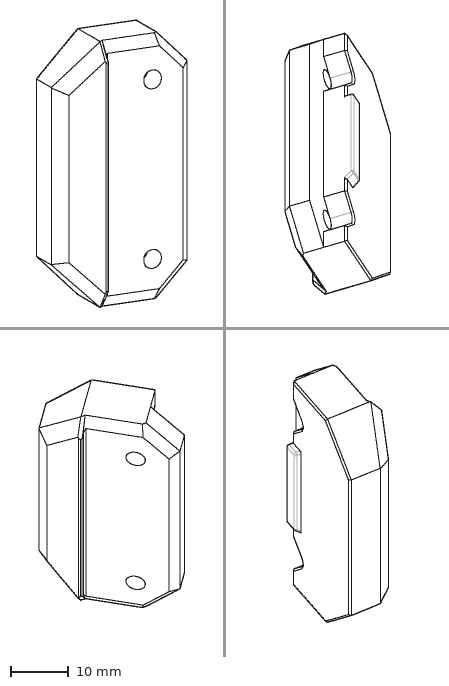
import cadquery as cq
import math


height = 48.0
half_height = height / 2
body_depth = 19.28
corner_cut = 8.0
face_chamfer = 0.35
slope_angle = 20.0
slope_chamfer = 2.1
ridge_x = 11.22
ridge_y = -(body_depth - corner_cut)
ridge_width = 0.63
ridge_end_y = ridge_y + ridge_width
ridge_bevel = 0.25

flange_front_x = 4.3
flange_back_x = 9.7
flange_width = 6.0
flange_chamfer = 1.6
end_bevel_x = 1.2
end_bevel_z = 2.1
ridge_foot = 0.4

hole_diameter = 3.4
hole_y = -1.5
hole_spacing = 32.4
hole_middle_z = -0.18
hole_heights = [hole_middle_z + side * hole_spacing / 2 for side in (1, -1)]
notch_half_width = 4.0

rib_height = 1.25
rib_width = 3.0
rib_top_z = 9.72
rib_bottom_z = -9.55
rib_round = 0.4

far = 100.0


def cut_beyond(solid, point, normal):
    """Remove everything on the side of the plane that the normal points to."""
    cutter = cq.Workplane(cq.Plane(origin=point, normal=normal)).rect(far, far).extrude(far)
    return solid.cut(cutter)


def cut_both_ends(solid, point, normal):
    """Apply the same plane cut at the upper and the lower end."""
    x, y, z = point
    nx, ny, nz = normal
    solid = cut_beyond(solid, point, normal)
    return cut_beyond(solid, (x, y, -z), (nx, ny, -nz))


def bevel_edge(solid, point, normal_a, normal_b, size):
    """Equal chamfer on the edge through the point between two planes with these normals."""
    normal_a = cq.Vector(*normal_a).normalized()
    normal_b = cq.Vector(*normal_b).normalized()
    bisector = (normal_a + normal_b).normalized()
    depth = size * (normal_a - normal_b).Length / 2
    inner_point = cq.Vector(*point) - bisector * depth
    return cut_both_ends(solid, inner_point.toTuple(), bisector.toTuple())


def prism(points):
    """Extrude an XY outline over the full height."""
    return cq.Workplane("XY").polyline(points).close().extrude(half_height, both=True)


def make_body():
    """Block with cut corners, a sloped back face and a narrow crest."""
    angle = math.radians(slope_angle)
    outer_x = ridge_x - math.tan(angle) * (body_depth + ridge_y)
    block = prism([
        (0, -body_depth),
        (outer_x, -body_depth),
        (ridge_x, ridge_y),
        (ridge_x, ridge_end_y - ridge_bevel),
        (ridge_x - ridge_bevel, ridge_end_y),
        (0, ridge_end_y),
    ])
    block = cut_both_ends(block, (0, ridge_y, half_height), (0, -1, 1))
    slope_normal = (math.cos(angle), -math.sin(angle), 0)
    block = bevel_edge(block, (outer_x, -body_depth, 0), slope_normal, (0, -1, 0), slope_chamfer)
    corner_tip = (ridge_x, ridge_y, half_height)
    block = bevel_edge(block, corner_tip, slope_normal, (0, -1, 1), slope_chamfer)
    slope_end_x = ridge_x - slope_chamfer / math.cos(angle)
    block = cut_both_ends(block, (slope_end_x, ridge_y, half_height), (math.sqrt(2), 1, 1))
    front_plate = prism([
        (0, 0),
        (0, ridge_end_y),
        (flange_front_x, ridge_end_y),
        (flange_front_x, 0),
    ])
    return block.union(front_plate)


def make_flange():
    """Flat-backed plate that reaches beyond the body and forms its back."""
    plate = prism([
        (flange_front_x, flange_width),
        (flange_back_x - flange_chamfer, flange_width),
        (flange_back_x, flange_width - flange_chamfer),
        (flange_back_x, ridge_end_y + ridge_foot),
        (flange_back_x + ridge_foot, ridge_end_y),
        (flange_front_x, ridge_end_y),
    ])
    plate = cut_both_ends(plate, (0, 0, half_height), (0, 1, 1))
    corner_edge = (flange_back_x, 0, half_height)
    plate = bevel_edge(plate, corner_edge, (1, 0, 0), (0, 1, 1), flange_chamfer)
    bevel_start = (flange_back_x - end_bevel_x, 0, half_height)
    return cut_both_ends(plate, bevel_start, (end_bevel_z, 0, end_bevel_x))


def make_notch(center_z):
    """45 degree notch with a round bottom concentric with the screw hole."""
    reach = notch_half_width + hole_y
    radius = reach / math.sqrt(2)
    tangent = radius / math.sqrt(2)
    return (
        cq.Workplane("YZ")
        .moveTo(0, center_z + notch_half_width)
        .lineTo(hole_y - tangent, center_z + tangent)
        .threePointArc((hole_y - radius, center_z), (hole_y - tangent, center_z - tangent))
        .lineTo(0, center_z - notch_half_width)
        .close()
        .extrude(flange_front_x)
    )


def make_rib():
    """Latch rib with a 45 degree ramp at its lower end."""
    root_x = 2 * face_chamfer
    rib = (
        cq.Workplane("XZ")
        .polyline([
            (root_x, rib_top_z),
            (-rib_height, rib_top_z),
            (-rib_height, rib_bottom_z + rib_height),
            (0, rib_bottom_z),
            (root_x, rib_bottom_z),
        ])
        .close()
        .extrude(rib_width)
    )
    return rib.edges("not(>X)").edges("not(<Z)").fillet(rib_round)


body = make_body()
for hole_z in hole_heights:
    body = body.cut(make_notch(hole_z))
body = body.faces("<X").edges().chamfer(face_chamfer)

holes = (
    cq.Workplane("YZ")
    .pushPoints([(hole_y, hole_z) for hole_z in hole_heights])
    .circle(hole_diameter / 2)
    .extrude(far)
)

result = body.union(make_flange()).cut(holes).union(make_rib())